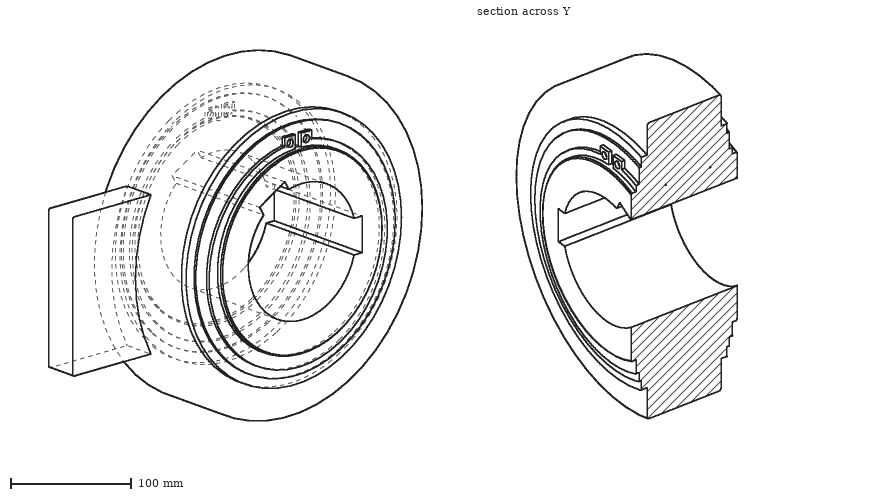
import cadquery as cq

outer_diameter = 300.0
outer_radius = outer_diameter / 2
outer_half_width = 38.5
outer_fillet = 3.0

bearing_step = (120.0, 44.5)
cover_step = (111.0, 46.5)
hub_radius = 90.0
hub_width = 110.0
hub_half_width = hub_width / 2
hub_chamfer = 1.0

clip_radius = 99.0
clip_half_width = 50.0
clip_drop = 3.7
clip_gap = 6.3
eyelet_width = 12.0
eyelet_top = 102.0
eyelet_hole_height = 96.0
eyelet_hole_radius = 3.5
eyelet_hole_offset = (clip_gap + eyelet_width) / 2

bore_radius = 60.0
keyway_width = 32.2
keyway_reach = 66.5
keyway_angles = (0, 120)

total_length = 370.0
arm_reach = total_length - outer_radius
arm_thickness = 30.0
arm_height = 140.0
arm_fillet = 2.2


def disc(radius, half_width):
    return cq.Workplane("YZ").workplane(offset=-half_width).circle(radius).extrude(2 * half_width)


def centred_box(size_x, size_y, size_z, center):
    return cq.Workplane("XY").box(size_x, size_y, size_z).translate(center)


def retaining_ring():
    ring = disc(clip_radius, clip_half_width).translate((0, 0, -clip_drop))
    for side in (-1, 1):
        eyelet_center = (0, side * eyelet_hole_offset, eyelet_top / 2)
        ring = ring.union(centred_box(2 * clip_half_width, eyelet_width, eyelet_top, eyelet_center))
    ring = ring.cut(centred_box(2 * clip_half_width, clip_gap, eyelet_top, (0, 0, eyelet_top / 2)))
    hole_points = [(side * eyelet_hole_offset, eyelet_hole_height) for side in (-1, 1)]
    holes = cq.Workplane("YZ").pushPoints(hole_points).circle(eyelet_hole_radius)
    return ring.cut(holes.extrude(clip_half_width, both=True))


def torque_arm():
    arm = centred_box(arm_thickness, arm_reach, arm_height, (0, -arm_reach / 2, 0))
    return arm.faces("<Y").edges("|X").fillet(arm_fillet)


def bore_with_keyways():
    bore = disc(bore_radius, hub_half_width)
    keyway = centred_box(hub_width, keyway_reach, keyway_width, (0, keyway_reach / 2, 0))
    for angle in keyway_angles:
        bore = bore.union(keyway.rotate((0, 0, 0), (1, 0, 0), angle))
    return bore


body = disc(outer_radius, outer_half_width).edges("%CIRCLE").fillet(outer_fillet)
body = body.union(disc(*bearing_step)).union(disc(*cover_step))
body = body.union(retaining_ring())
body = body.union(disc(hub_radius, hub_half_width).edges("%CIRCLE").chamfer(hub_chamfer))
body = body.union(torque_arm())
result = body.cut(bore_with_keyways())